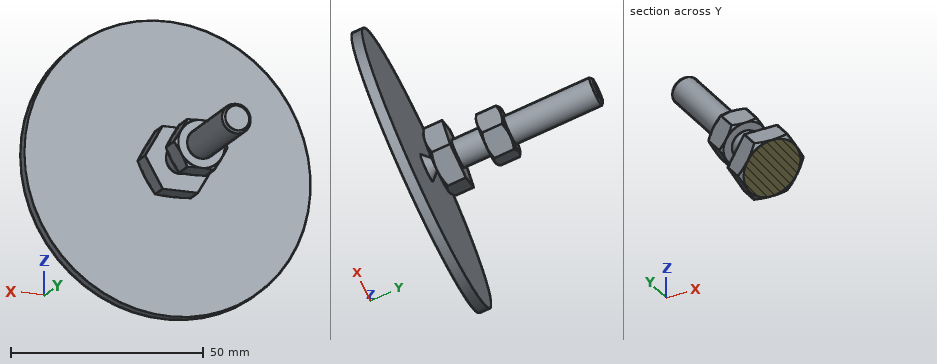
import cadquery as cq
import math

PAD_DIAMETER = 80.0
PAD_THICKNESS = 3.0
CONE_BASE_RADIUS = 3.9
CONE_TIP_RADIUS = 1.1

STUD_DIAMETER = 8.0
STUD_END_CHAMFER = 0.6
HEAD_ACROSS_FLATS = 17.0
HEAD_START = 6.0
HEAD_THICKNESS = 6.0
OVERALL_LENGTH = 52.0

NUT_ACROSS_FLATS = 13.0
NUT_START = 20.1
NUT_THICKNESS = 6.8

CORNER_BEVEL_ANGLE = 30.0


def disc(radius, start, length):
    """Cylinder along +Y from Y = start."""
    return cq.Workplane("XZ", origin=(0, start, 0)).circle(radius).extrude(-length)


def hexagon(across_flats, start, thickness, bevel_far_end):
    """Hexagonal prism along +Y with two corners on X; its near end is always bevelled."""
    flat_radius = across_flats / 2
    corner_radius = flat_radius / math.cos(math.pi / 6)
    bevel_height = (corner_radius - flat_radius) * math.tan(math.radians(CORNER_BEVEL_ANGLE))
    end = start + thickness

    prism = (
        cq.Workplane("XZ", origin=(0, start, 0))
        .polygon(6, 2 * corner_radius)
        .extrude(-thickness)
    )
    profile = (
        cq.Workplane("XY")
        .moveTo(0, start)
        .lineTo(flat_radius, start)
        .lineTo(corner_radius, start + bevel_height)
    )
    if bevel_far_end:
        profile = profile.lineTo(corner_radius, end - bevel_height).lineTo(flat_radius, end)
    else:
        profile = profile.lineTo(corner_radius, end)
    envelope = profile.lineTo(0, end).close().revolve(360, (0, 0, 0), (0, 1, 0))
    return prism.intersect(envelope)


def make_pad():
    """Round pad with a cone on its back that meets the head of the stud."""
    cone = (
        cq.Workplane("XY")
        .moveTo(0, PAD_THICKNESS)
        .lineTo(CONE_BASE_RADIUS, PAD_THICKNESS)
        .lineTo(CONE_TIP_RADIUS, HEAD_START)
        .lineTo(0, HEAD_START)
        .close()
        .revolve(360, (0, 0, 0), (0, 1, 0))
    )
    return disc(PAD_DIAMETER / 2, 0, PAD_THICKNESS).union(cone)


def make_stud():
    """Hexagonal head with a plain shank, chamfered at its free end."""
    shank_start = HEAD_START + HEAD_THICKNESS
    shank = disc(STUD_DIAMETER / 2, shank_start, OVERALL_LENGTH - shank_start)
    shank = shank.faces(">Y").chamfer(STUD_END_CHAMFER)
    head = hexagon(HEAD_ACROSS_FLATS, HEAD_START, HEAD_THICKNESS, bevel_far_end=False)
    return head.union(shank)


def make_nut():
    """Hexagonal nut, bevelled at both ends and bored to fit the shank."""
    blank = hexagon(NUT_ACROSS_FLATS, NUT_START, NUT_THICKNESS, bevel_far_end=True)
    return blank.cut(disc(STUD_DIAMETER / 2, NUT_START, NUT_THICKNESS))


pad = make_pad()
stud = make_stud()
nut = make_nut()

result = cq.Compound.makeCompound([pad.val(), stud.val(), nut.val()])